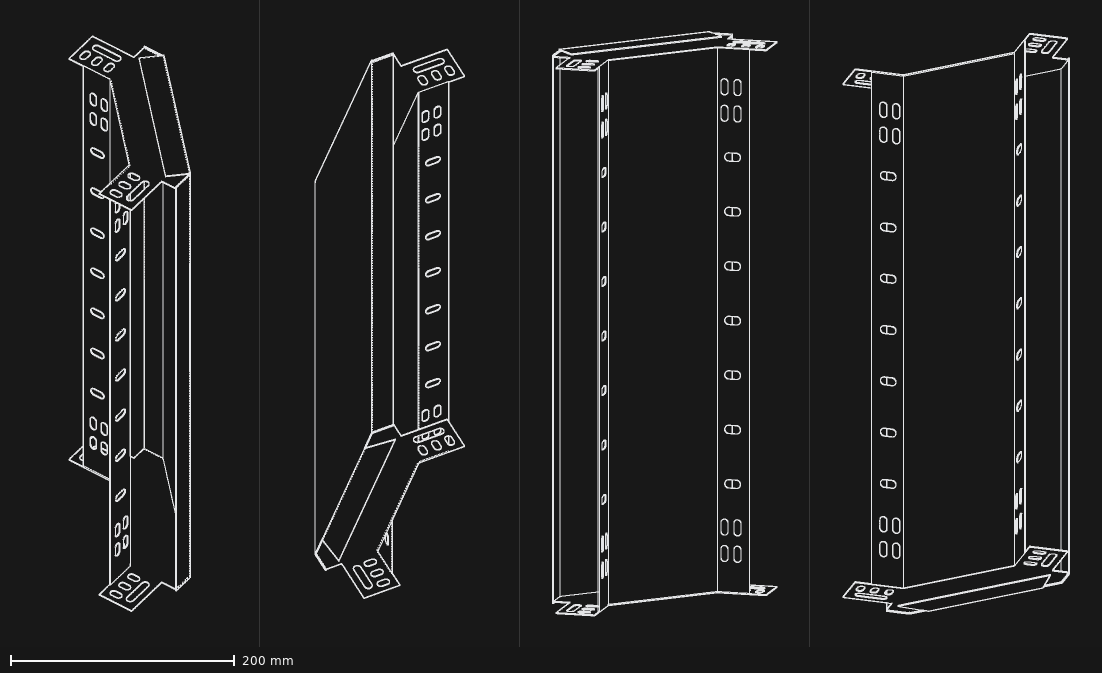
import cadquery as cq
import math

overall_height = 503.0
half_width = 88.0
sheet = 1.0

channel_half_height = 249.5
base_offset = 36.0
arm_width = 35.5
fold_offset = 43.0
tongue_length = 15.5

facet_length = 21.5
lip_width = 22.5
cover_end = 42.5
facet_half_height = 250.5
bottom_lip_reach = 74.5

web_slot_length = 14.5
upright_slot_width = 6.5
upright_slot_places = (49.5, 61.5)
upright_slot_heights = (189.0, 213.5)
level_slot_width = 7.5
level_slot_place = 57.0
level_slot_pitch = 50.0
level_slot_count = 7

long_slot_length = 29.5
long_slot_width = 7.0
long_slot_place = 65.0
long_slot_offset = 62.0
short_slot_length = 11.5
short_slot_width = 6.5
short_slot_places = (52.5, 66.0, 79.0)
short_slot_offset = 48.5

half_height = overall_height / 2
arm_outer = base_offset + arm_width
web_end = half_width - tongue_length
facet_fold = cover_end - facet_length
back_sum = half_width - facet_fold
fold_shift = sheet * math.tan(math.radians(22.5))
mirror_normal = cq.Vector(1, -1, 0)


def mirrored_path(path):
    """The path's image across x = y, run backwards so that it continues the path."""
    return [(y, x) for x, y in reversed(path)]


def symmetric_outline(half_path):
    return half_path + mirrored_path(half_path)


def prism(outline, bottom, top):
    return cq.Workplane("XY", origin=(0, 0, bottom)).polyline(outline).close().extrude(top - bottom)


def folded_sheet(outer_half, inner_half, half_length):
    """An upright bent sheet, centred on z = 0, given by the half paths of its two faces."""
    outline = symmetric_outline(outer_half) + symmetric_outline(inner_half)[::-1]
    return prism(outline, -half_length, half_length)



def make_web():
    inner_face = base_offset + sheet
    outer_half = [(-web_end, base_offset), (-fold_offset, base_offset)]
    inner_half = [(-web_end, inner_face), (-fold_offset + fold_shift, inner_face)]
    return folded_sheet(outer_half, inner_half, channel_half_height)


def make_end_plate(bottom):
    plate_edge = half_width - sheet
    outline = symmetric_outline([
        (-fold_offset, base_offset),
        (-half_width, base_offset),
        (-half_width, arm_outer),
        (-cover_end, arm_outer),
        (-cover_end, plate_edge),
        (-facet_fold - fold_shift, plate_edge),
    ])
    return prism(outline, bottom, bottom + sheet)


def web_slots(places, width, angle):
    """Cutters through the web of the -X arm, at places given as (x, z)."""
    plane = cq.Workplane("XZ", origin=(0, base_offset, 0))
    return plane.pushPoints(places).slot2D(web_slot_length, width, angle).extrude(-sheet)


def plate_slots(places, length, width, angle):
    """Cutters through both end plates on the -X arm, at places given as (x, y)."""
    plane = cq.Workplane("XY", origin=(0, 0, -half_height))
    return plane.pushPoints(places).slot2D(length, width, angle).extrude(overall_height)


def make_slot_cutters():
    upright_places = [
        (-x, side * z)
        for x in upright_slot_places
        for z in upright_slot_heights
        for side in (-1, 1)
    ]
    middle = (level_slot_count - 1) / 2
    level_places = [(-level_slot_place, (i - middle) * level_slot_pitch) for i in range(level_slot_count)]
    short_places = [(-x, short_slot_offset) for x in short_slot_places]
    return [
        web_slots(upright_places, upright_slot_width, 90),
        web_slots(level_places, level_slot_width, 0),
        plate_slots([(-long_slot_place, long_slot_offset)], long_slot_length, long_slot_width, 0),
        plate_slots(short_places, short_slot_length, short_slot_width, 90),
    ]


def make_channel():
    channel = make_web()
    for bottom in (-channel_half_height, channel_half_height - sheet):
        channel = channel.union(make_end_plate(bottom))
    for cutter in make_slot_cutters():
        channel = channel.cut(cutter)
        channel = channel.cut(cutter.mirror(mirror_normal))
    return channel



def make_cover():
    inner_face = half_width - sheet
    outer_half = [(-cover_end, half_width), (-facet_fold, half_width)]
    inner_half = [(-cover_end, inner_face), (-facet_fold - fold_shift, inner_face)]
    cover = folded_sheet(outer_half, inner_half, facet_half_height)

    lip_step = lip_width / math.sqrt(2)
    lip_inner_corner = (-facet_fold - lip_step, half_width - lip_step)
    top_corner = (-facet_fold, half_width)
    bottom_corner = (back_sum - bottom_lip_reach, bottom_lip_reach)
    top_lip = prism(symmetric_outline([lip_inner_corner, top_corner]), facet_half_height, half_height)
    bottom_lip = prism(symmetric_outline([lip_inner_corner, bottom_corner]), -half_height, -facet_half_height)
    return cover.union(top_lip).union(bottom_lip)


channel = make_channel()
cover = make_cover()
result = cq.Compound.makeCompound([channel.val(), cover.val()])